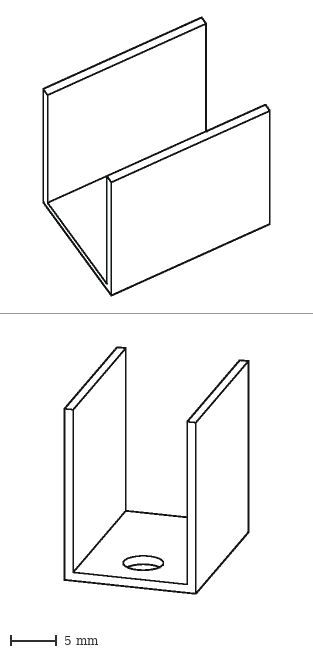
import cadquery as cq

width = 15.0
length = 20.0
height = 20.0
wall = 1.0

hole_diameter = 4.4
hole_from_back = 5.0

block = cq.Workplane("XY").box(width, length, height, centered=(True, True, False))

opening = (
    cq.Workplane("XY", origin=(0, 0, wall))
    .box(width - 2 * wall, length, height - wall, centered=(True, True, False))
)

hole = (
    cq.Workplane("XY")
    .center(0, length / 2 - hole_from_back)
    .circle(hole_diameter / 2)
    .extrude(wall)
)

result = block.cut(opening).cut(hole)